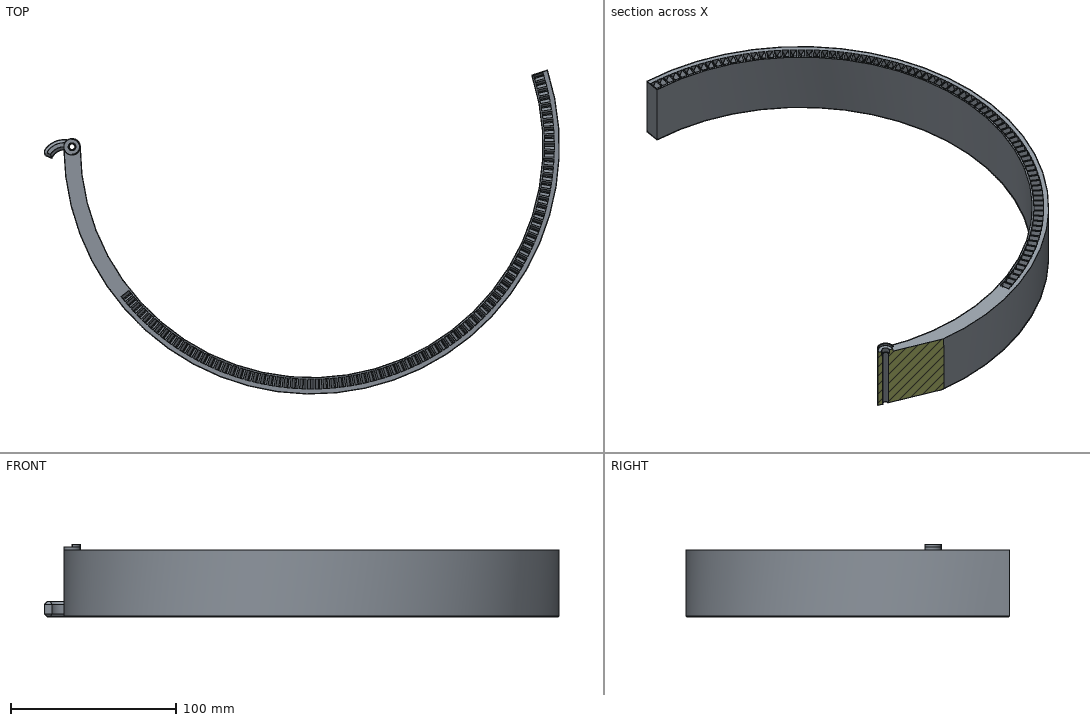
import cadquery as cq
import math

OUTER_RADIUS = 150.0
INNER_RADIUS = 140.0
BAND_HEIGHT = 40.5
PIVOT_ANGLE = 180.0
FREE_END_ANGLE = 377.9
BOTTOM_CHAMFER = 0.5

TOOTH_PITCH = 1.88
TOOTH_COUNT = 85
TOOTH_INNER_RADIUS = 141.0
TOOTH_OUTER_RADIUS = 147.0
TOOTH_DEPTH = 3.7
LAND_SHARE = 0.2
FLOOR_SHARE = 0.15
FLOOR_SHIFT = 0.05

BARREL_DIAMETER = OUTER_RADIUS - INNER_RADIUS
PIVOT_X = -(OUTER_RADIUS + INNER_RADIUS) / 2
PIVOT_Y = -0.3
BARREL_HEIGHT = 44.0
RIM_HEIGHT = 1.5
RECESS_FLOOR = BARREL_HEIGHT - RIM_HEIGHT
RIM_BORE = 9.0
PIN_HOLE = 3.5
PIN_COUNTERBORE = 4.7
COUNTERBORE_DEPTH = 3.0

HOOK_CENTRE_X = PIVOT_X - 4.7
HOOK_CENTRE_Y = PIVOT_Y - 10.0
HOOK_OUTER_RADIUS = 14.5
HOOK_INNER_RADIUS = 8.0
HOOK_ROOT_ANGLE = 80.0
HOOK_TIP_ANGLE = 158.0
HOOK_HEIGHT = 9.5
HOOK_CHAMFER = 2.0
HOOK_TIP_ROUND = 2.8


def polar(radius, angle):
    """Point at a radius and an angle in degrees."""
    return (radius * math.cos(math.radians(angle)), radius * math.sin(math.radians(angle)))


def arc_strip(inner, outer, start, end, height):
    """Upright wall following an arc between two angles, square at both ends."""
    middle = (start + end) / 2
    return (
        cq.Workplane("XY")
        .moveTo(*polar(outer, start))
        .threePointArc(polar(outer, middle), polar(outer, end))
        .lineTo(*polar(inner, end))
        .threePointArc(polar(inner, middle), polar(inner, start))
        .close()
        .extrude(height)
    )


def tooth_groove(angle):
    """Groove with a narrow floor; it widens with the radius, so every pitch keeps the same shares."""

    def section(radius):
        pitch = radius * math.radians(TOOTH_PITCH)
        half_mouth = pitch * (1 - LAND_SHARE) / 2
        half_floor = pitch * FLOOR_SHARE / 2
        floor_middle = pitch * FLOOR_SHIFT
        floor_height = BAND_HEIGHT - TOOTH_DEPTH
        corners = [
            cq.Vector(radius, -half_mouth, BAND_HEIGHT),
            cq.Vector(radius, floor_middle - half_floor, floor_height),
            cq.Vector(radius, floor_middle + half_floor, floor_height),
            cq.Vector(radius, half_mouth, BAND_HEIGHT),
        ]
        return cq.Wire.makePolygon(corners, close=True)

    groove = cq.Solid.makeLoft([section(TOOTH_INNER_RADIUS), section(TOOTH_OUTER_RADIUS)], True)
    return groove.rotate(cq.Vector(0, 0, 0), cq.Vector(0, 0, 1), angle)


def toothed_band():
    band = arc_strip(INNER_RADIUS, OUTER_RADIUS, PIVOT_ANGLE, FREE_END_ANGLE, BAND_HEIGHT)
    band = band.faces("<Z").edges().chamfer(BOTTOM_CHAMFER)
    grooves = [
        tooth_groove(FREE_END_ANGLE - (index + 0.5) * TOOTH_PITCH) for index in range(TOOTH_COUNT)
    ]
    return band.cut(cq.Workplane(cq.Compound.makeCompound(grooves)))


def barrel():
    """Pivot barrel whose shallow top recess leaves a thin rim on the +X half only."""
    body = cq.Workplane("XY").circle(BARREL_DIAMETER / 2).extrude(BARREL_HEIGHT)
    recess = cq.Workplane("XY", origin=(0, 0, RECESS_FLOOR)).circle(RIM_BORE / 2).extrude(RIM_HEIGHT)
    open_half = (
        cq.Workplane("XY", origin=(-BARREL_DIAMETER / 2, 0, RECESS_FLOOR))
        .rect(BARREL_DIAMETER, 2 * BARREL_DIAMETER)
        .extrude(RIM_HEIGHT)
    )
    return body.cut(recess).cut(open_half).translate((PIVOT_X, PIVOT_Y, 0))


def pin_hole():
    bore = cq.Workplane("XY").circle(PIN_HOLE / 2).extrude(RECESS_FLOOR)
    counterbore = (
        cq.Workplane("XY", origin=(0, 0, RECESS_FLOOR - COUNTERBORE_DEPTH))
        .circle(PIN_COUNTERBORE / 2)
        .extrude(COUNTERBORE_DEPTH)
    )
    return bore.union(counterbore).translate((PIVOT_X, PIVOT_Y, 0))


def hook():
    strip = arc_strip(
        HOOK_INNER_RADIUS, HOOK_OUTER_RADIUS, HOOK_ROOT_ANGLE, HOOK_TIP_ANGLE, HOOK_HEIGHT
    )
    strip = strip.edges("|Z and <X").fillet(HOOK_TIP_ROUND)
    strip = strip.faces("<Z or >Z").edges().chamfer(HOOK_CHAMFER)
    return strip.translate((HOOK_CENTRE_X, HOOK_CENTRE_Y, 0))


result = toothed_band().union(barrel()).union(hook()).cut(pin_hole())